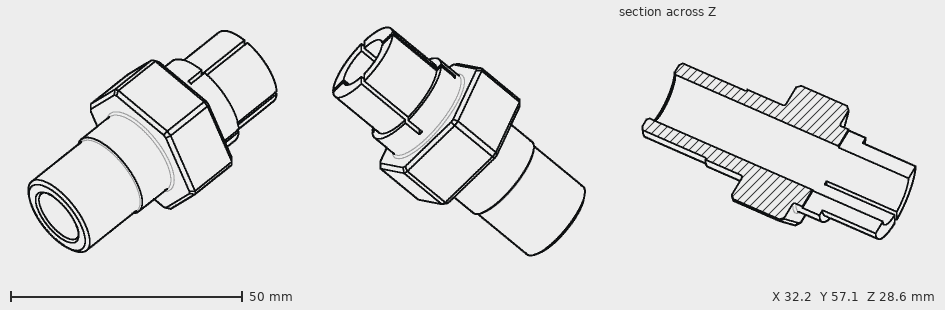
import cadquery as cq
import math

length = 57.1
bore_diameter = 12.3
bore_chamfer = 0.5

spigot_diameter = 19.05
spigot_end_chamfer_length = 0.55
spigot_end_chamfer_depth = 0.85
shoulder_diameter = 20
shoulder_start = 16
shoulder_fillet = 0.3

hex_across_flats = 28.55
hex_across_corners = 32.25
hex_start = 25.05
hex_end = 37.9
hex_chamfer = 0.85
neck_fillet = 0.5

collar_diameter = 22.0
collar_end = 44.2
sleeve_diameter = 19.05
slot_width = 0.9
slot_depth = 17.0


def hex_prism(across_flats, across_corners, start, end):
    """Hexagon with corners on the X axis, each trimmed by a flat."""
    def hexagon(flats, angle):
        prism = cq.Workplane("XY").polygon(6, flats, circumscribed=True).extrude(end - start)
        return prism.rotate((0, 0, 0), (0, 0, 1), angle)

    prism = hexagon(across_flats, 30).intersect(hexagon(across_corners, 0))
    prism = prism.faces("<Z or >Z").chamfer(hex_chamfer)
    return prism.rotate((0, 0, 0), (1, 0, 0), -90).translate((0, start, 0))


def turned_body():
    """Solid of revolution through the hexagon, with fillets at the shoulder and both hexagon faces."""
    spigot_radius = spigot_diameter / 2
    shoulder_radius = shoulder_diameter / 2
    collar_radius = collar_diameter / 2
    sleeve_radius = sleeve_diameter / 2
    arc_middle = 1 - math.sqrt(0.5)
    shoulder_middle = shoulder_fillet * arc_middle
    neck_middle = neck_fillet * arc_middle
    profile = (
        cq.Workplane("XY")
        .moveTo(0, 0)
        .lineTo(spigot_radius - spigot_end_chamfer_depth, 0)
        .lineTo(spigot_radius, spigot_end_chamfer_length)
        .lineTo(spigot_radius, shoulder_start - shoulder_fillet)
        .threePointArc(
            (spigot_radius + shoulder_middle, shoulder_start - shoulder_middle),
            (spigot_radius + shoulder_fillet, shoulder_start),
        )
        .lineTo(shoulder_radius, shoulder_start)
        .lineTo(shoulder_radius, hex_start - neck_fillet)
        .threePointArc(
            (shoulder_radius + neck_middle, hex_start - neck_middle),
            (shoulder_radius + neck_fillet, hex_start),
        )
        .lineTo(collar_radius + neck_fillet, hex_end)
        .threePointArc(
            (collar_radius + neck_middle, hex_end + neck_middle),
            (collar_radius, hex_end + neck_fillet),
        )
        .lineTo(collar_radius, collar_end)
        .lineTo(sleeve_radius, collar_end)
        .lineTo(sleeve_radius, length)
        .lineTo(0, length)
        .close()
    )
    return profile.revolve(360, (0, 0), (0, 1))


def bore():
    """Through bore, flared by a chamfer at the plain end."""
    radius = bore_diameter / 2
    profile = (
        cq.Workplane("XY")
        .moveTo(0, 0)
        .lineTo(radius + bore_chamfer, 0)
        .lineTo(radius, bore_chamfer)
        .lineTo(radius, length)
        .lineTo(0, length)
        .close()
    )
    return profile.revolve(360, (0, 0), (0, 1))


def cross_slots():
    """Two perpendicular slots that split the sleeve and collar into four fingers."""
    slot = cq.Workplane("XY").box(collar_diameter, slot_depth, slot_width)
    slot = slot.translate((0, length - slot_depth / 2, 0))
    return slot.union(slot.rotate((0, 0, 0), (0, 1, 0), 90))


hexagon_body = hex_prism(hex_across_flats, hex_across_corners, hex_start, hex_end)
result = turned_body().union(hexagon_body).cut(bore()).cut(cross_slots())